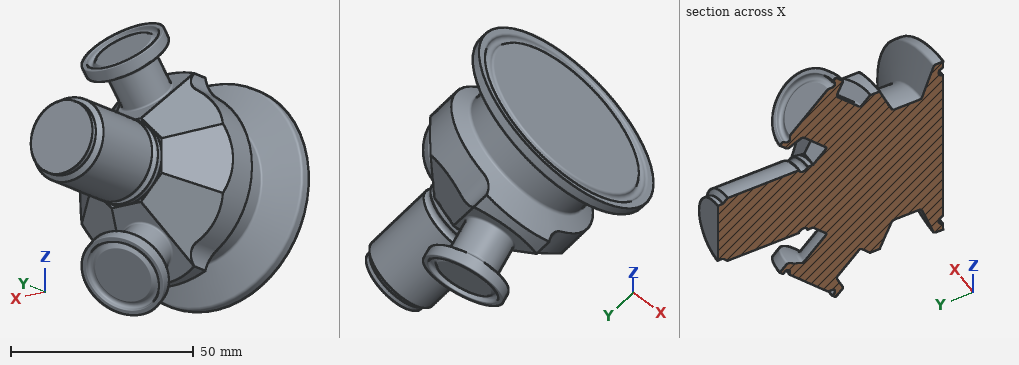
import cadquery as cq
import math


flange_radius = 32.0
flange_edge_length = 2.95
flange_cone_tan = math.tan(math.radians(70.0))
flange_rim_round = 0.9
neck_radius = 21.0
neck_front_round = 0.75
neck_back_round = 1.0

groove_radius = 28.2
groove_half_width = 1.95
groove_lip_round = 0.8
groove_bottom_round = 1.25

hub_sides = 8
hub_radius = 26.0
tab_radius = 30.0
tab_front = 20.0
hub_cone_tan = math.tan(math.radians(66.0))
hub_back = 41.0
hub_split = tab_front / 2
scallop_radius = 6.0

shank_radius = 12.0
shank_groove_radius = 10.9
shank_groove_start = 42.7
shank_groove_end = 45.4
shank_tip_radius = 10.5
shank_tip_length = 1.6
shank_chamfer = 1.5
total_length = 71.0

port_tilt = 45.0
port_axis_crossing = 9.8
port_length = 16.0
port_overlap = 1.0
port_root_margin = 0.25
port_tube_radius = 7.5
port_base_round = 0.5
port_neck_round = 1.0
port_flange_radius = 12.5
port_flange_edge_length = 3.55
port_rim_round = 0.65
port_face_round = 0.2
port_groove_radius = 10.9
port_groove_bottom_round = 0.86
port_disc_radius = 8.5
port_disc_recess = 0.6

half_side_angle = math.radians(180.0 / hub_sides)
pyramid_apex = hub_back + shank_radius


def profile(points):
    """Closed outline through (radius, y, corner rounding) points; the first corner is sharp."""
    outline = None
    count = len(points)
    for i, (x, y, rounding) in enumerate(points):
        corner = cq.Vector(x, y)
        if rounding > 0:
            to_last = (cq.Vector(*points[i - 1][:2]) - corner).normalized()
            to_next = (cq.Vector(*points[(i + 1) % count][:2]) - corner).normalized()
            half_angle = to_last.getAngle(to_next) / 2
            tangent_length = rounding / math.tan(half_angle)
            middle = (to_last + to_next).normalized() * (rounding / math.sin(half_angle) - rounding)
            start = corner + to_last * tangent_length
            end = corner + to_next * tangent_length
            outline = outline.lineTo(start.x, start.y)
            outline = outline.threePointArc((corner + middle).toTuple()[:2], (end.x, end.y))
        elif outline is None:
            outline = cq.Workplane("XY").moveTo(x, y)
        else:
            outline = outline.lineTo(x, y)
    return outline.close()


def turned(points):
    """Solid of revolution about the Y axis."""
    return profile(points).revolve(360, (0, 0, 0), (0, 1, 0))


def turned_core():
    """Flange, neck, front cone of the hub and its unclipped round body."""
    flange_cone_end = flange_edge_length + (flange_radius - neck_radius) / flange_cone_tan
    hub_cone_start = tab_front - (tab_radius - neck_radius) / hub_cone_tan
    return turned([
        (0, 0, 0),
        (flange_radius, 0, 0),
        (flange_radius, flange_edge_length, flange_rim_round),
        (neck_radius, flange_cone_end, neck_front_round),
        (neck_radius, hub_cone_start, neck_back_round),
        (tab_radius, tab_front, 0),
        (tab_radius, hub_back, 0),
        (0, hub_back, 0),
    ])


def gasket_groove():
    """Ring cutter with a round bottom and rounded lips."""
    round_sum = groove_lip_round + groove_bottom_round
    center_drop = math.sqrt(round_sum**2 - groove_half_width**2)
    bottom = groove_lip_round - center_drop + groove_bottom_round
    share = groove_lip_round / round_sum
    join_offset = groove_half_width * (1 - share)
    join_depth = groove_lip_round - center_drop * share
    inner = groove_radius - groove_half_width
    outer = groove_radius + groove_half_width
    return (
        cq.Workplane("XY")
        .moveTo(inner, 0)
        .radiusArc((groove_radius - join_offset, join_depth), -groove_lip_round)
        .threePointArc((groove_radius, bottom), (groove_radius + join_offset, join_depth))
        .radiusArc((outer, 0), -groove_lip_round)
        .close()
        .revolve(360, (0, 0, 0), (0, 1, 0))
    )


def hub_plan():
    """Prism along Y: the round body with two tabs that run out through concave scallops."""
    tab_half_width = tab_radius * math.sin(half_side_angle)
    tab_corner_height = tab_radius * math.cos(half_side_angle)
    center_distance = hub_radius + scallop_radius
    side_squares = center_distance**2 + tab_radius**2 - scallop_radius**2
    turn_cosine = side_squares / (2 * center_distance * tab_radius)
    center_angle = half_side_angle + math.acos(turn_cosine)
    meet_x = hub_radius * math.sin(center_angle)
    meet_z = hub_radius * math.cos(center_angle)
    body = cq.Workplane("XZ").circle(hub_radius).extrude(-hub_back)
    tabs = (
        cq.Workplane("XZ")
        .moveTo(-tab_half_width, 0)
        .lineTo(tab_half_width, 0)
        .lineTo(meet_x, meet_z)
        .radiusArc((tab_half_width, tab_corner_height), scallop_radius)
        .threePointArc((0, tab_radius), (-tab_half_width, tab_corner_height))
        .radiusArc((-meet_x, meet_z), scallop_radius)
        .close()
        .extrude(-hub_back)
    )
    return body.union(tabs).union(tabs.mirror("XY"))


def pyramid():
    """Eight-sided frustum whose flat sides face the X and Z axes."""
    front_apothem = pyramid_apex - hub_split
    corner_scale = 2 / math.cos(half_side_angle)
    turn = math.degrees(half_side_angle)
    return (
        cq.Workplane("XZ", origin=(0, hub_split, 0))
        .transformed(rotate=(0, 0, turn))
        .polygon(hub_sides, front_apothem * corner_scale)
        .workplane(offset=-(hub_back - hub_split))
        .polygon(hub_sides, shank_radius * corner_scale)
        .loft(ruled=True)
    )


def hub_and_flange():
    """Join the turned front end to the hub, which is clipped to its plan and pyramid."""
    core = turned_core().cut(gasket_groove())
    size = 4 * flange_radius
    front_half = cq.Workplane("XZ").rect(size, size).extrude(-hub_split)
    hub = core.cut(front_half).intersect(hub_plan()).intersect(pyramid())
    return core.intersect(front_half).union(hub)


def shank():
    """Round shank with a rounded relief groove and a stepped, chamfered tip."""
    tip_start = total_length - shank_tip_length
    groove_middle = (shank_groove_start + shank_groove_end) / 2
    return (
        cq.Workplane("XY")
        .moveTo(0, hub_back)
        .lineTo(shank_radius, hub_back)
        .lineTo(shank_radius, shank_groove_start)
        .threePointArc((shank_groove_radius, groove_middle), (shank_radius, shank_groove_end))
        .lineTo(shank_radius, tip_start - shank_chamfer)
        .lineTo(shank_tip_radius, tip_start)
        .lineTo(shank_tip_radius, total_length)
        .lineTo(0, total_length)
        .close()
        .revolve(360, (0, 0, 0), (0, 1, 0))
    )


def port():
    """Upper side port, modelled along Y from its pyramid face and then tilted into place."""
    edge = port_length - port_flange_edge_length
    cone_end = edge - (port_flange_radius - port_tube_radius) / flange_cone_tan
    root_radius = port_tube_radius + port_base_round + port_root_margin
    floor = port_length - port_disc_recess
    groove_corner = floor - (port_groove_radius - port_disc_radius)
    solid = turned([
        (0, -port_overlap, 0),
        (root_radius, -port_overlap, 0),
        (root_radius, 0, 0),
        (port_tube_radius, 0, port_base_round),
        (port_tube_radius, cone_end, port_neck_round),
        (port_flange_radius, edge, port_rim_round),
        (port_flange_radius, port_length, port_face_round),
        (port_groove_radius, port_length, port_face_round),
        (port_groove_radius, groove_corner, port_groove_bottom_round),
        (port_disc_radius, floor, port_face_round),
        (0, floor, 0),
    ])
    base_z = (pyramid_apex - port_axis_crossing) / 2
    base_y = pyramid_apex - base_z
    return solid.rotate((0, 0, 0), (1, 0, 0), port_tilt).translate((0, base_y, base_z))


upper_port = port()
lower_port = upper_port.mirror("XY")
result = hub_and_flange().union(shank()).union(upper_port).union(lower_port)